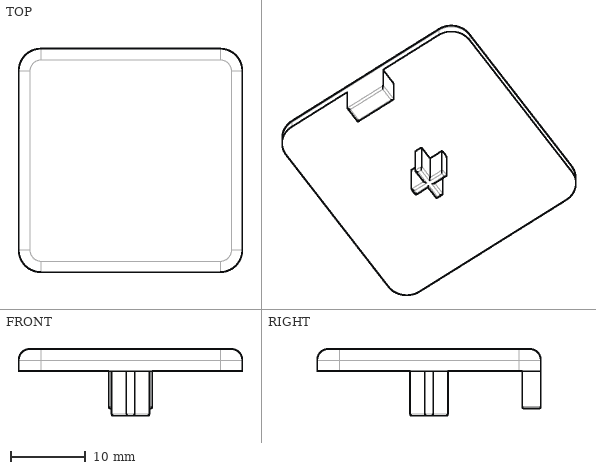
import cadquery as cq

side = 30
plate_thickness = 3
corner_radius = 3
top_round = 1.5

stem_length = 6
stem_diameter = 5.1
arm_width = 1.08

tab_length = 5.0
tab_width = 5.88
tab_depth = 2.52

tip_round = 0.3


def make_plate():
    """Square plate with rounded corners and a rounded top rim."""
    plate = cq.Workplane("XY").box(side, side, plate_thickness, centered=(True, True, False))
    return plate.edges("|Z").fillet(corner_radius).faces(">Z").edges().fillet(top_round)


def make_stem():
    """Cross with cylindrical arm ends and a rounded tip."""
    arms = cq.Workplane("XY").rect(stem_diameter, arm_width).extrude(-stem_length)
    arms = arms.union(cq.Workplane("XY").rect(arm_width, stem_diameter).extrude(-stem_length))
    envelope = cq.Workplane("XY").circle(stem_diameter / 2).extrude(-stem_length)
    return arms.intersect(envelope).faces("<Z").edges().fillet(tip_round)


def make_tab():
    """Rectangular tab, flush with the +Y side of the plate, with a rounded tip."""
    tab_center_y = (side - tab_depth) / 2
    tab = cq.Workplane("XY").center(0, tab_center_y).rect(tab_width, tab_depth).extrude(-tab_length)
    return tab.faces("<Z").edges().fillet(tip_round)


result = make_plate().union(make_stem()).union(make_tab())